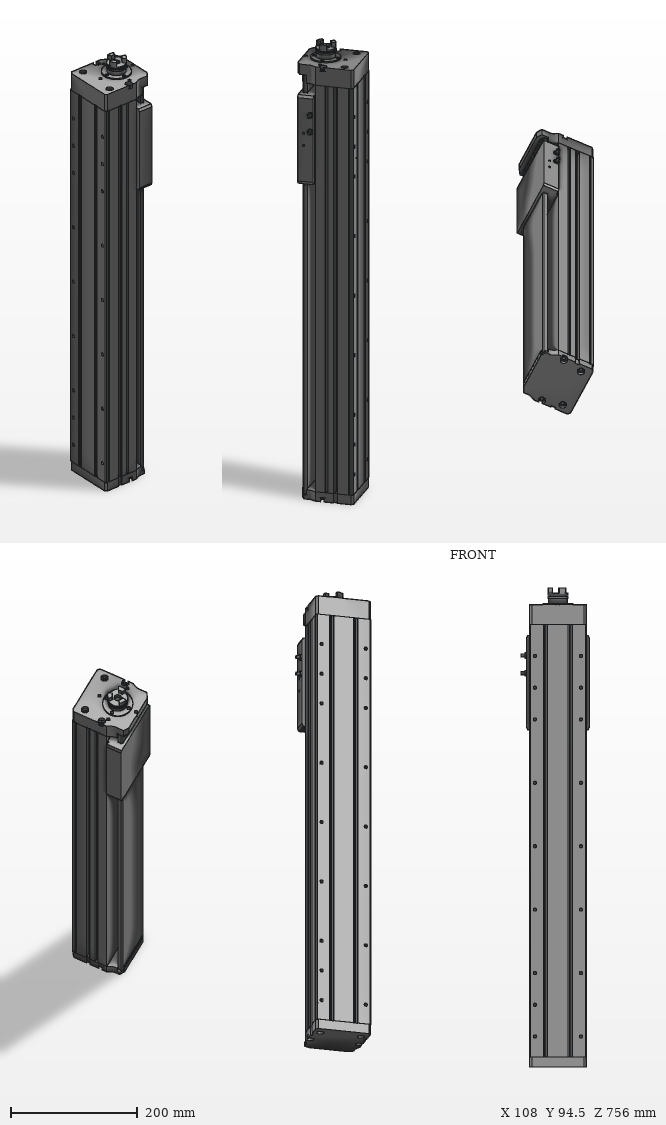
import cadquery as cq
import math


TOTAL_HEIGHT = 756.0
END_PLATE_HEIGHT = 16.0
HEAD_BOTTOM = 698.5
HEAD_TOP = 729.5

BODY_WIDTH = 90.0
BODY_HALF = BODY_WIDTH / 2
BODY_DEPTH = 62.0
CORNER_CHAMFER = 4.0
PROFILE_CHAMFER = 1.5

NECK_HALF = 40.0
NECK_START = 73.0
NECK_FOOT_HALF = 42.0
NECK_FOOT = 67.0
NECK_SAG = 0.4
CREST_HALF = 32.0
HEAD_DEPTH = 94.5
HEAD_SHOULDER = 89.0
SEAT_DEPTH = 87.0
SEAT_SHOULDER = 82.5
LIP_BOTTOM = 712.0

COVER_HALF = 36.0
COVER_BACK = 85.5
COVER_FRONT = 78.0
COVER_CHAMFER = 2.0
COVER_BOTTOM = 7.0

SLOT_WIDTH = 7.0
SLOT_DEPTH = 9.0
SLOT_MOUTH_DEPTH = 2.0
SLOT_STEP = 2.0
FRONT_SLOT_X = 20.0
SIDE_SLOT_START = 26.0
SIDE_SLOT_Y = SIDE_SLOT_START + SLOT_WIDTH / 2
SENSOR_GROOVE_Y = 44.0
SENSOR_GROOVE_WIDTH = 4.5
SENSOR_GROOVE_DEPTH = 4.0
EDGE_GROOVE_Y = 6.4
EDGE_GROOVE_WIDTH = 2.0
EDGE_GROOVE_DEPTH = 1.5

MOUNT_HOLE_DIAMETER = 5.0
MOUNT_HOLE_DEPTH = 11.0
MOUNT_HOLE_X = 36.0
MOUNT_FIRST_Z = 48.0
MOUNT_SPAN = 600.0
MOUNT_STEPS = [0, 2, 4, 6, 8, 10, 12]
MOUNT_PITCH = MOUNT_SPAN / MOUNT_STEPS[-1]
EXTRA_STEPS_LEFT = [1, 11]
EXTRA_STEPS_RIGHT = [11]

SCREW_DIAMETER = 6.0
SCREW_HEAD_DIAMETER = 11.0
SCREW_HEAD_DEPTH = 7.0
SCREW_PLACES = [(33.0, 17.5), (40.0, 51.0)]

AXIS_Y = 58.0
MOTOR_HOLE_DIAMETER = 5.2
MOTOR_HOLE_RADIUS = 32.5
MOTOR_HOLE_DEPTH = 11.0
RING_DIAMETER = 47.5
RING_HEIGHT = 2.0
RING_HOLE_DIAMETER = 5.0
RING_HOLE_RADIUS = 20.0
AXIS_HOLE_COUNT = 4
SHANK_DIAMETER = 30.0
HUB_DIAMETER = 32.0
HUB_BOTTOM = 739.0
HUB_TOP = 747.5
HUB_BORE = 11.0
HUB_GROOVE_WIDTH = 2.0
HUB_GROOVE_DEPTH = 1.5
JAW_COUNT = 3
JAW_INNER_RADIUS = 9.0
JAW_HALF_ANGLE = 22.0
FIRST_JAW_ANGLE = 60.0

CARRIAGE_BOTTOM = 532.0
CARRIAGE_TOP = 681.0
CARRIAGE_HALF = 50.0
CARRIAGE_FRONT = 64.0
CARRIAGE_BACK = 90.0
TONGUE_HALF = 42.0
CARRIAGE_END_INSET = 2.0
CARRIAGE_END_CHAMFER = 4.5
PIN_HOLE_DIAMETER = 3.25
PIN_HOLE_DEPTH = 7.5
PIN_HOLE_Y = 80.0
PIN_HOLE_HEIGHTS = [597.0, 617.5]

FITTING_Y = 69.0
FITTING_HEIGHTS = [621.0, 649.0]
FITTING_BASE_DIAMETER = 9.0
FITTING_BASE_HEIGHT = 2.0
FITTING_TIP_DIAMETER = 4.9
FITTING_REACH = 8.0


def box(x0, x1, y0, y1, z0, z1):
    """Box given by its limits along X, Y and Z."""
    return cq.Workplane("XY").box(x1 - x0, y1 - y0, z1 - z0, centered=False).translate((x0, y0, z0))


def upright_cylinder(x, y, z0, z1, diameter):
    """Cylinder parallel to Z from height z0 to height z1."""
    return cq.Workplane("XY", origin=(x, y, z0)).circle(diameter / 2).extrude(z1 - z0)


def cross_cylinder(x0, x1, y, z, diameter):
    """Cylinder parallel to X from x0 to x1."""
    return cq.Workplane("YZ", origin=(x0, y, z)).circle(diameter / 2).extrude(x1 - x0)


def ring_places(radius, count):
    """Evenly spaced places on a circle around the drive axis."""
    angles = [math.radians(i * 360 / count) for i in range(count)]
    return [(radius * math.cos(a), AXIS_Y + radius * math.sin(a)) for a in angles]



def side_slot(side, z0, z1):
    """Stepped slot in one flank: a wide mouth and a narrower floor."""
    y0 = SIDE_SLOT_START
    y1 = SIDE_SLOT_START + SLOT_WIDTH
    floor = BODY_HALF - SLOT_DEPTH
    middle = BODY_HALF - SLOT_MOUTH_DEPTH
    slot = box(middle, BODY_HALF, y0, y1, z0, z1).union(box(floor, middle, y0, y1 - SLOT_STEP, z0, z1))
    return slot if side > 0 else slot.mirror("YZ")


def front_slot(side, z0, z1):
    """Stepped slot in the mounting face: a wide mouth and a narrower floor."""
    x0 = FRONT_SLOT_X - SLOT_WIDTH / 2
    x1 = FRONT_SLOT_X + SLOT_WIDTH / 2
    slot = box(x0, x1, 0, SLOT_MOUTH_DEPTH, z0, z1)
    slot = slot.union(box(x0 + SLOT_STEP, x1 - SLOT_STEP, SLOT_MOUTH_DEPTH, SLOT_DEPTH, z0, z1))
    return slot if side > 0 else slot.mirror("YZ")


def flank_groove(side, y, width, depth, z0, z1):
    """Plain groove along one flank from height z0 to height z1."""
    inner = side * (BODY_HALF - depth)
    outer = side * BODY_HALF
    y0 = y - width / 2
    return box(min(inner, outer), max(inner, outer), y0, y0 + width, z0, z1)


def mounting_holes(side, steps):
    """Row of blind holes drilled into the mounting face."""
    places = [(side * MOUNT_HOLE_X, MOUNT_FIRST_Z + step * MOUNT_PITCH) for step in steps]
    drill = cq.Workplane("XZ").pushPoints(places).circle(MOUNT_HOLE_DIAMETER / 2)
    return drill.extrude(-MOUNT_HOLE_DEPTH)


def make_profile():
    """Extruded profile with stepped slots, grooves and two rows of mounting holes."""
    z0 = END_PLATE_HEIGHT
    z1 = HEAD_BOTTOM
    profile = box(-BODY_HALF, BODY_HALF, 0, BODY_DEPTH, z0, z1)
    profile = profile.faces("<Y").edges("|Z").chamfer(PROFILE_CHAMFER)
    for side in (-1, 1):
        profile = profile.cut(side_slot(side, z0, z1))
        profile = profile.cut(front_slot(side, z0, z1))
        profile = profile.cut(
            flank_groove(side, SENSOR_GROOVE_Y, SENSOR_GROOVE_WIDTH, SENSOR_GROOVE_DEPTH, z0, z1)
        )
        profile = profile.cut(flank_groove(side, EDGE_GROOVE_Y, EDGE_GROOVE_WIDTH, EDGE_GROOVE_DEPTH, z0, z1))
    profile = profile.cut(mounting_holes(-1, MOUNT_STEPS + EXTRA_STEPS_LEFT))
    return profile.cut(mounting_holes(1, MOUNT_STEPS + EXTRA_STEPS_RIGHT))



def cover_bar(z0, z1):
    """Flat bar with both rear edges chamfered."""
    shoulder = COVER_BACK - COVER_CHAMFER
    crest = COVER_HALF - COVER_CHAMFER
    outline = cq.Workplane("XY", origin=(0, 0, z0)).polyline([
        (-COVER_HALF, COVER_FRONT), (COVER_HALF, COVER_FRONT), (COVER_HALF, shoulder),
        (crest, COVER_BACK), (-crest, COVER_BACK), (-COVER_HALF, shoulder),
    ])
    return outline.close().extrude(z1 - z0)



def end_block(shoulder, back, z0, z1):
    """Wide front part that narrows through two concave arcs to a neck with a crest at the back."""
    arc_middle_x = (NECK_FOOT_HALF + NECK_HALF) / 2 - NECK_SAG
    arc_middle_y = (NECK_FOOT + NECK_START) / 2
    block = (
        cq.Workplane("XY", origin=(0, 0, z0))
        .moveTo(-BODY_HALF + CORNER_CHAMFER, 0)
        .lineTo(BODY_HALF - CORNER_CHAMFER, 0)
        .lineTo(BODY_HALF, CORNER_CHAMFER)
        .lineTo(BODY_HALF, BODY_DEPTH)
        .lineTo(NECK_FOOT_HALF, NECK_FOOT)
        .threePointArc((arc_middle_x, arc_middle_y), (NECK_HALF, NECK_START))
        .lineTo(NECK_HALF, shoulder)
        .lineTo(CREST_HALF, back)
        .lineTo(-CREST_HALF, back)
        .lineTo(-NECK_HALF, shoulder)
        .lineTo(-NECK_HALF, NECK_START)
        .threePointArc((-arc_middle_x, arc_middle_y), (-NECK_FOOT_HALF, NECK_FOOT))
        .lineTo(-BODY_HALF, BODY_DEPTH)
        .lineTo(-BODY_HALF, CORNER_CHAMFER)
        .close()
    )
    return block.extrude(z1 - z0)


def cover_seat(z0, z1):
    """Cross slot, open at both flanks, that takes one end of the cover."""
    return box(-BODY_HALF, BODY_HALF, COVER_FRONT, COVER_BACK, z0, z1)


def cut_screw_holes(block, z0, z1, head_z0, head_z1):
    """Through holes from z0 to z1, counterbored between head_z0 and head_z1."""
    for side in (-1, 1):
        for x, y in SCREW_PLACES:
            block = block.cut(upright_cylinder(side * x, y, z0, z1, SCREW_DIAMETER))
            block = block.cut(upright_cylinder(side * x, y, head_z0, head_z1, SCREW_HEAD_DIAMETER))
    return block


def make_head():
    """Upper end block: a lip closes the cover seat, and the screw and motor holes open on top."""
    head = end_block(SEAT_SHOULDER, SEAT_DEPTH, HEAD_BOTTOM, LIP_BOTTOM)
    head = head.cut(cover_seat(HEAD_BOTTOM, LIP_BOTTOM))
    head = head.union(end_block(HEAD_SHOULDER, HEAD_DEPTH, LIP_BOTTOM, HEAD_TOP))
    head = cut_screw_holes(head, HEAD_BOTTOM, HEAD_TOP, HEAD_TOP - SCREW_HEAD_DEPTH, HEAD_TOP)
    for x, y in ring_places(MOTOR_HOLE_RADIUS, AXIS_HOLE_COUNT):
        head = head.cut(upright_cylinder(x, y, HEAD_TOP - MOTOR_HOLE_DEPTH, HEAD_TOP, MOTOR_HOLE_DIAMETER))
    return head


def make_end_plate():
    """Lower end block with a blind cover seat and the screw holes counterbored from below."""
    plate = end_block(SEAT_SHOULDER, SEAT_DEPTH, 0, END_PLATE_HEIGHT)
    plate = plate.cut(cover_seat(COVER_BOTTOM, END_PLATE_HEIGHT))
    for side in (-1, 1):
        plate = plate.cut(flank_groove(side, SIDE_SLOT_Y, SLOT_WIDTH, SLOT_MOUTH_DEPTH, 0, END_PLATE_HEIGHT))
    return cut_screw_holes(plate, 0, END_PLATE_HEIGHT, 0, SCREW_HEAD_DEPTH)



def make_flange_ring():
    """Thin ring on top of the head, around the coupling shank."""
    top = HEAD_TOP + RING_HEIGHT
    ring = upright_cylinder(0, AXIS_Y, HEAD_TOP, top, RING_DIAMETER)
    ring = ring.cut(upright_cylinder(0, AXIS_Y, HEAD_TOP, top, SHANK_DIAMETER))
    for x, y in ring_places(RING_HOLE_RADIUS, AXIS_HOLE_COUNT):
        ring = ring.cut(upright_cylinder(x, y, HEAD_TOP, top, RING_HOLE_DIAMETER))
    return ring


def coupling_jaw(angle):
    """Ring sector that stands on the hub, centred on the given angle."""
    outer = HUB_DIAMETER / 2
    inner = JAW_INNER_RADIUS

    def point(radius, offset):
        a = math.radians(angle + offset)
        return (radius * math.cos(a), radius * math.sin(a))

    sector = (
        cq.Workplane("XY", origin=(0, AXIS_Y, HUB_TOP))
        .moveTo(*point(inner, -JAW_HALF_ANGLE))
        .lineTo(*point(outer, -JAW_HALF_ANGLE))
        .threePointArc(point(outer, 0), point(outer, JAW_HALF_ANGLE))
        .lineTo(*point(inner, JAW_HALF_ANGLE))
        .threePointArc(point(inner, 0), point(inner, -JAW_HALF_ANGLE))
        .close()
    )
    return sector.extrude(TOTAL_HEIGHT - HUB_TOP)


def make_coupling():
    """Shank, grooved hub with a blind bore, and the jaws on top."""
    coupling = upright_cylinder(0, AXIS_Y, HEAD_TOP, HUB_BOTTOM, SHANK_DIAMETER)
    coupling = coupling.union(upright_cylinder(0, AXIS_Y, HUB_BOTTOM, HUB_TOP, HUB_DIAMETER))
    groove_z = (HUB_BOTTOM + HUB_TOP - HUB_GROOVE_WIDTH) / 2
    groove_top = groove_z + HUB_GROOVE_WIDTH
    groove = upright_cylinder(0, AXIS_Y, groove_z, groove_top, HUB_DIAMETER)
    core = upright_cylinder(0, AXIS_Y, groove_z, groove_top, HUB_DIAMETER - 2 * HUB_GROOVE_DEPTH)
    coupling = coupling.cut(groove.cut(core))
    for i in range(JAW_COUNT):
        coupling = coupling.union(coupling_jaw(FIRST_JAW_ANGLE + i * 360 / JAW_COUNT))
    return coupling.cut(upright_cylinder(0, AXIS_Y, HUB_BOTTOM, HUB_TOP, HUB_BORE))



def grease_fitting(z):
    """Round base and narrower tip, pointing towards -X."""
    face = -CARRIAGE_HALF
    base = cross_cylinder(face - FITTING_BASE_HEIGHT, face, FITTING_Y, z, FITTING_BASE_DIAMETER)
    return base.union(cross_cylinder(face - FITTING_REACH, face, FITTING_Y, z, FITTING_TIP_DIAMETER))


def make_carriage():
    """Block with tapered ends that rides on the profile with a narrower tongue, around the cover."""
    flat = CARRIAGE_HALF - CARRIAGE_END_INSET
    low = CARRIAGE_BOTTOM + CARRIAGE_END_CHAMFER
    high = CARRIAGE_TOP - CARRIAGE_END_CHAMFER
    carriage = cq.Workplane("XZ", origin=(0, CARRIAGE_FRONT, 0)).polyline([
        (-flat, CARRIAGE_BOTTOM), (flat, CARRIAGE_BOTTOM), (CARRIAGE_HALF, low), (CARRIAGE_HALF, high),
        (flat, CARRIAGE_TOP), (-flat, CARRIAGE_TOP), (-CARRIAGE_HALF, high), (-CARRIAGE_HALF, low),
    ]).close().extrude(CARRIAGE_FRONT - CARRIAGE_BACK)
    tongue = box(-TONGUE_HALF, TONGUE_HALF, BODY_DEPTH, CARRIAGE_FRONT, CARRIAGE_BOTTOM, CARRIAGE_TOP)
    carriage = carriage.union(tongue)
    carriage = carriage.cut(cover_bar(CARRIAGE_BOTTOM, CARRIAGE_TOP))
    for z in PIN_HOLE_HEIGHTS:
        floor = PIN_HOLE_DEPTH - CARRIAGE_HALF
        carriage = carriage.cut(cross_cylinder(-CARRIAGE_HALF, floor, PIN_HOLE_Y, z, PIN_HOLE_DIAMETER))
    for z in FITTING_HEIGHTS:
        carriage = carriage.union(grease_fitting(z))
    return carriage


profile = make_profile()
cover = cover_bar(COVER_BOTTOM, LIP_BOTTOM)
head = make_head()
end_plate = make_end_plate()
flange_ring = make_flange_ring()
coupling = make_coupling()
carriage = make_carriage()

result = cq.Compound.makeCompound([
    profile.val(),
    cover.val(),
    head.val(),
    end_plate.val(),
    flange_ring.val(),
    coupling.val(),
    carriage.val(),
])